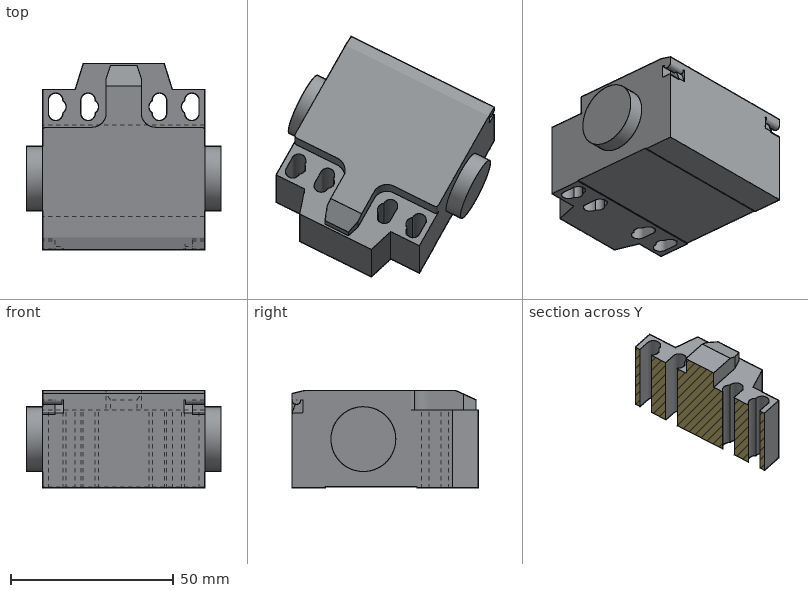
import cadquery as cq

body_width = 50.0
body_height = 30.0
overall_depth = 57.5
shoulder_y = 49.5
tail_root_width = 30.0
tail_end_width = 25.0

front_bevel_depth = 3.75
front_bevel_drop = 0.9

ledge_z = 24.0
ledge_front_y = 37.8
ledge_corner_radius = 1.0
nose_width = 10.8
nose_tip_width = 8.2
nose_end_y = 56.8
nose_taper_start_y = 52.9
nose_root_radius = 4.4
nose_slope_start_y = 50.5
nose_tip_z = 27.1

mounting_hole_x = (10.0, 20.0)
mounting_hole_y = 44.1
mounting_hole_diameter = 4.4
slot_length = 8.4
slot_offset = 1.0

cap_diameter = 20.0
cap_length = 5.0
cap_y = 22.0
cap_z = body_height / 2

pocket_depth = 3.4
pocket_top_z = 27.05
pocket_floor_z = 23.0
pocket_width = 6.4
pocket_corner_radius = 0.6
ramp_start = 3.85
ramp_run = 1.0
ramp_rise = 2.75
hook_width = 5.95
hook_radius = 1.35
lip_bevel_depth = 0.25
lip_bevel_drop = 0.43

relief_start_y = 10.3
relief_end_y = 38.5
relief_depth = 0.3

half_width = body_width / 2


def extrude_along_x(points, x_start, length):
    """Prism along +X from a list of (y, z) points."""
    return cq.Workplane("YZ").workplane(offset=x_start).polyline(points).close().extrude(length)


def make_ledge_block():
    """Full plan outline, up to the height of the rear ledge."""
    outline = [
        (-half_width, 0),
        (half_width, 0),
        (half_width, shoulder_y),
        (tail_root_width / 2, shoulder_y),
        (tail_end_width / 2, overall_depth),
        (-tail_end_width / 2, overall_depth),
        (-tail_root_width / 2, shoulder_y),
        (-half_width, shoulder_y),
    ]
    return cq.Workplane("XY").polyline(outline).close().extrude(ledge_z)


def make_upper_body():
    """Material that rises above the rear ledge."""
    outline = [
        (-half_width, 0),
        (half_width, 0),
        (half_width, ledge_front_y),
        (nose_width / 2, ledge_front_y),
        (nose_width / 2, nose_taper_start_y),
        (nose_tip_width / 2, nose_end_y),
        (-nose_tip_width / 2, nose_end_y),
        (-nose_width / 2, nose_taper_start_y),
        (-nose_width / 2, ledge_front_y),
        (-half_width, ledge_front_y),
    ]
    height = body_height - ledge_z
    upper = cq.Workplane("XY").workplane(offset=ledge_z).polyline(outline).close().extrude(height)
    for side in (-1, 1):
        root = cq.NearestToPointSelector((side * nose_width / 2, ledge_front_y, ledge_z + height / 2))
        upper = upper.edges("|Z").edges(root).fillet(nose_root_radius)
        corner = cq.NearestToPointSelector((side * half_width, ledge_front_y, ledge_z + height / 2))
        upper = upper.edges("|Z").edges(corner).fillet(ledge_corner_radius)
    return upper


def make_front_bevel():
    points = [
        (0, body_height),
        (front_bevel_depth, body_height),
        (0, body_height - front_bevel_drop),
    ]
    return extrude_along_x(points, -half_width, body_width)


def make_nose_slope():
    points = [
        (nose_slope_start_y, body_height),
        (nose_end_y, body_height),
        (nose_end_y, nose_tip_z),
    ]
    return extrude_along_x(points, -nose_width / 2, nose_width)


def make_keyed_slot(side, hole_x):
    """Through cutter: round hole plus a slot shifted outward by slot_offset."""
    hole = (
        cq.Workplane("XY")
        .center(side * hole_x, mounting_hole_y)
        .circle(mounting_hole_diameter / 2)
        .extrude(body_height)
    )
    slot = (
        cq.Workplane("XY")
        .center(side * (hole_x + slot_offset), mounting_hole_y)
        .slot2D(slot_length, mounting_hole_diameter, 90)
        .extrude(body_height)
    )
    return hole.union(slot)


def make_pocket():
    """Cutter for the latch pocket in the +X front corner, leaving the hook and ramp."""
    pocket_start_x = half_width - pocket_width
    pocket = (
        cq.Workplane("XY")
        .box(pocket_width, pocket_depth, pocket_top_z - pocket_floor_z, centered=False)
        .translate((pocket_start_x, 0, pocket_floor_z))
        .edges("|X and >Y and <Z")
        .fillet(pocket_corner_radius)
    )

    ramp_top_y = ramp_run * (pocket_top_z - pocket_floor_z) / ramp_rise
    ramp_points = [
        (0, pocket_floor_z),
        (ramp_top_y, pocket_top_z),
        (pocket_depth, pocket_top_z),
        (pocket_depth, pocket_floor_z),
    ]
    ramp = extrude_along_x(ramp_points, pocket_start_x, pocket_width - ramp_start)

    hook = (
        cq.Workplane("YZ")
        .workplane(offset=half_width - hook_width)
        .center(hook_radius, pocket_top_z)
        .circle(hook_radius)
        .extrude(hook_width)
    )

    lip_points = [
        (0, pocket_floor_z),
        (lip_bevel_depth, pocket_floor_z),
        (0, pocket_floor_z - lip_bevel_drop),
    ]
    lip_bevel = extrude_along_x(lip_points, half_width - ramp_start, ramp_start)
    return pocket.cut(ramp).cut(hook).union(lip_bevel)


def make_relief():
    return (
        cq.Workplane("XY")
        .box(body_width, relief_end_y - relief_start_y, relief_depth, centered=False)
        .translate((-half_width, relief_start_y, 0))
    )


def make_caps():
    return (
        cq.Workplane("YZ")
        .workplane(offset=-half_width - cap_length)
        .center(cap_y, cap_z)
        .circle(cap_diameter / 2)
        .extrude(body_width + 2 * cap_length)
    )


result = make_ledge_block().union(make_upper_body())
result = result.cut(make_front_bevel()).cut(make_nose_slope())

for side in (-1, 1):
    for hole_x in mounting_hole_x:
        result = result.cut(make_keyed_slot(side, hole_x))

pocket = make_pocket()
result = result.cut(pocket).cut(pocket.mirror("YZ"))
result = result.cut(make_relief()).union(make_caps())